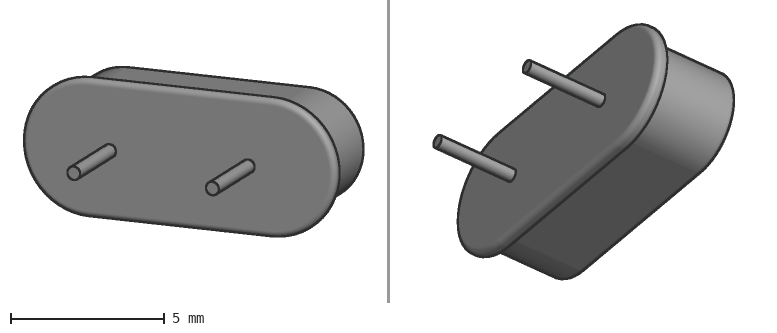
import cadquery as cq

flange_length = 11.05
flange_width = 4.65
flange_thickness = 0.5
edge_radius = 0.2

can_inset = 0.42
can_height = 3.01

pin_diameter = 0.45
pin_spacing = 4.88
pin_length = 3.0


def oval_prism(length, width, start_y, depth):
    """Extrude an oval with round ends in +Y from the plane at start_y."""
    plane = cq.Workplane("XZ", origin=(0, start_y, 0))
    return plane.slot2D(length, width).extrude(-depth)


def make_flange():
    flange = oval_prism(flange_length, flange_width, 0, flange_thickness)
    return flange.faces("<Y or >Y").edges().fillet(edge_radius)


def make_can():
    length = flange_length - 2 * can_inset
    width = flange_width - 2 * can_inset
    can = oval_prism(length, width, flange_thickness, can_height)
    return can.faces(">Y").edges().fillet(edge_radius)


def make_pins():
    pin_places = [(-pin_spacing / 2, 0), (pin_spacing / 2, 0)]
    pins = cq.Workplane("XZ").pushPoints(pin_places)
    return pins.circle(pin_diameter / 2).extrude(pin_length)


result = make_flange().union(make_can()).union(make_pins())